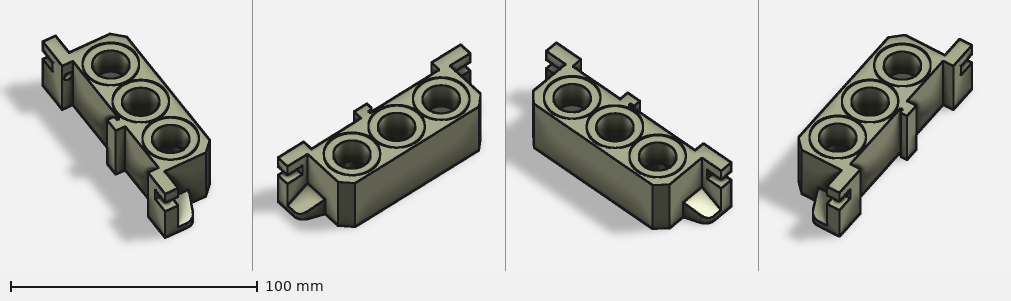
import cadquery as cq

length = 96.0
depth = 30.5
height = 27.0
body_half_width = 37.4
body_front = 5.0
corner_chamfer = 4.9

end = length / 2
foot_back = 6.1
left_foot_inner = -32.6
right_foot_inner = 34.5
slot_depth = 7.9
slot_bottom = 16.2
slot_top = 21.6
cross_hole_diameter = 4.0
cross_hole_y = 3.0

gusset_back = 17.5
gusset_shoulder = 13.9
gusset_corner_radius = 4.8
gusset_high = 9.0
gusset_low = 2.9

bore_y = 17.5
bore_spacing = 23.4
bore_diameter = 15.2
bore_offset = 5.2
ledge_height = height / 2
recess_diameter = 22.9
recess_depth = 0.5

rib_left = 1.6
rib_right = 8.4
neck_left = 3.6
rib_front = 0.5
lip_back = 4.0
lip_bevel = 0.6


def box(x0, x1, y0, y1, z0, z1):
    return cq.Workplane("XY").box(x1 - x0, y1 - y0, z1 - z0, centered=False).translate((x0, y0, z0))


def make_body():
    body = box(-body_half_width, body_half_width, body_front, depth, 0, height)
    return body.edges("|Z and >Y").chamfer(corner_chamfer)


def make_gusset():
    """Right-hand gusset: rounded outline cut off by a plane falling outwards."""
    outline = (
        cq.Workplane("XY")
        .moveTo(body_half_width, 0)
        .lineTo(end, 0)
        .lineTo(end, gusset_shoulder)
        .lineTo(body_half_width, gusset_back)
        .close()
        .extrude(gusset_high)
        .edges(cq.NearestToPointSelector((end, gusset_shoulder, gusset_high / 2)))
        .fillet(gusset_corner_radius)
    )
    slope = (
        cq.Workplane("XZ")
        .polyline([(body_half_width, 0), (end, 0), (end, gusset_low), (body_half_width, gusset_high)])
        .close()
        .extrude(-gusset_back)
    )
    return outline.intersect(slope)


def make_rib():
    """Rib with a lip to the left."""
    return (
        cq.Workplane("XY")
        .polyline([
            (rib_left, rib_front),
            (rib_right, rib_front),
            (rib_right, body_front),
            (neck_left, body_front),
            (neck_left, lip_back),
            (rib_left + lip_bevel, lip_back),
            (rib_left, lip_back - lip_bevel),
        ])
        .close()
        .extrude(height)
    )


def vertical_cylinder(x, diameter, z0, z1):
    return cq.Workplane("XY", origin=(x, bore_y, z0)).circle(diameter / 2).extrude(z1 - z0)


def make_bore(side):
    """Recess and bore; below the ledge the outer bores step towards the middle."""
    x = side * bore_spacing
    recess = vertical_cylinder(x, recess_diameter, height - recess_depth, height)
    upper_bore = vertical_cylinder(x, bore_diameter, ledge_height, height)
    lower_bore = vertical_cylinder(x - side * bore_offset, bore_diameter, 0, ledge_height)
    return recess.union(upper_bore).union(lower_bore)


result = make_body()
result = result.union(box(-end, left_foot_inner, 0, foot_back, 0, height))
result = result.union(box(right_foot_inner, end, 0, foot_back, 0, height))

gusset = make_gusset()
result = result.union(gusset).union(gusset.mirror("YZ")).union(make_rib())

for slot_start in (-end, end - slot_depth):
    slot = box(slot_start, slot_start + slot_depth, 0, foot_back, slot_bottom, slot_top)
    result = result.cut(slot)

slot_middle = (slot_bottom + slot_top) / 2
cross_hole = (
    cq.Workplane("YZ", origin=(-end, cross_hole_y, slot_middle))
    .circle(cross_hole_diameter / 2)
    .extrude(left_foot_inner + end)
)
result = result.cut(cross_hole)

for bore_side in (-1, 0, 1):
    result = result.cut(make_bore(bore_side))